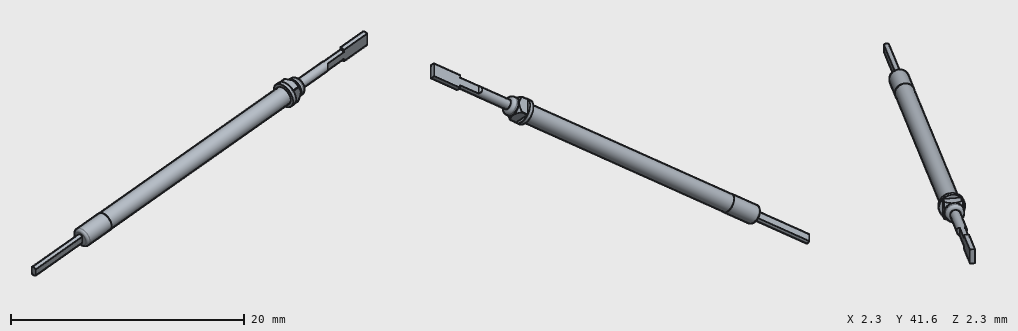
import cadquery as cq

total_length = 41.6
front_end = total_length / 2
back_end = -front_end

flat_thickness = 0.45
rod_diameter = 0.9
blade_height = 1.37
blade_back = front_end - 2.9
flat_back = front_end - 4.95
ramp_length = 0.25

tail_height = 0.9
tail_flat_height = 0.7

barrel_diameter = 1.7
head_rounding = 0.35
head_front = front_end - 8.3
collar_front = front_end - 8.9
collar_width = 1.62
collar_corner_diameter = 2.25
bevel_front_radius = 0.75
flange_diameter = 2.3
flange_front = front_end - 9.9
flange_back = flange_front - 0.37

sleeve_front = front_end - 32.75
sleeve_back = front_end - 35.5
sleeve_diameter = 1.75
nose_rounding = 0.25
nose_end = sleeve_back - nose_rounding


def cylinder(diameter, y_from, y_to):
    """Round bar on the Y axis, from y_from back to y_to."""
    bar = cq.Workplane("XZ", origin=(0, y_from, 0)).circle(diameter / 2)
    return bar.extrude(y_from - y_to)


def turn(profile):
    """Close a half profile (radius, Y) and turn it about the Y axis."""
    return profile.close().revolve(360, (0, 0, 0), (0, 1, 0))


def make_head():
    """Short round head with a rounded front rim."""
    return cylinder(barrel_diameter, head_front, collar_front).faces(">Y").edges().fillet(head_rounding)


def make_collar():
    """Square collar with rounded corners, bevelled at the front by a 45 degree cone."""
    corner_radius = collar_corner_diameter / 2
    bevel_end = collar_front - (corner_radius - bevel_front_radius)
    envelope = turn(
        cq.Workplane("XY")
        .moveTo(0, collar_front)
        .lineTo(bevel_front_radius, collar_front)
        .lineTo(corner_radius, bevel_end)
        .lineTo(corner_radius, flange_front)
        .lineTo(0, flange_front)
    )
    square = cq.Workplane("XZ", origin=(0, collar_front, 0)).rect(collar_width, collar_width)
    return envelope.intersect(square.extrude(collar_front - flange_front))


def make_barrel():
    """Long tube that ends in a sleeve with a rounded back rim."""
    tube = cylinder(barrel_diameter, flange_back, sleeve_front)
    sleeve = cylinder(sleeve_diameter, sleeve_front, nose_end).faces("<Y").edges().fillet(nose_rounding)
    return tube.union(sleeve)


def make_rod():
    """Stepped rod flattened on both X sides, with 45 degree ramps up to the full diameter."""
    half_flat = flat_thickness / 2
    half_full = half_flat + ramp_length
    ramp_back = flat_back - ramp_length
    outline = (
        cq.Workplane("XY", origin=(0, 0, -blade_height))
        .moveTo(half_flat, front_end)
        .lineTo(half_flat, flat_back)
        .lineTo(half_full, ramp_back)
        .lineTo(half_full, head_front)
        .lineTo(-half_full, head_front)
        .lineTo(-half_full, ramp_back)
        .lineTo(-half_flat, flat_back)
        .lineTo(-half_flat, front_end)
        .close()
        .extrude(2 * blade_height)
    )
    turned = cylinder(blade_height, front_end, blade_back).union(
        cylinder(rod_diameter, blade_back, head_front)
    )
    return turned.intersect(outline)


def make_tail():
    """Flat bar whose top and bottom are rounded across its thickness."""
    half_width = flat_thickness / 2
    half_flat = tail_flat_height / 2
    half_height = tail_height / 2
    section = (
        cq.Workplane("XZ", origin=(0, nose_end, 0))
        .moveTo(-half_width, -half_flat)
        .lineTo(-half_width, half_flat)
        .threePointArc((0, half_height), (half_width, half_flat))
        .lineTo(half_width, -half_flat)
        .threePointArc((0, -half_height), (-half_width, -half_flat))
        .close()
    )
    return section.extrude(nose_end - back_end)


result = (
    make_barrel()
    .union(cylinder(flange_diameter, flange_front, flange_back))
    .union(make_collar())
    .union(make_head())
    .union(make_rod())
    .union(make_tail())
)